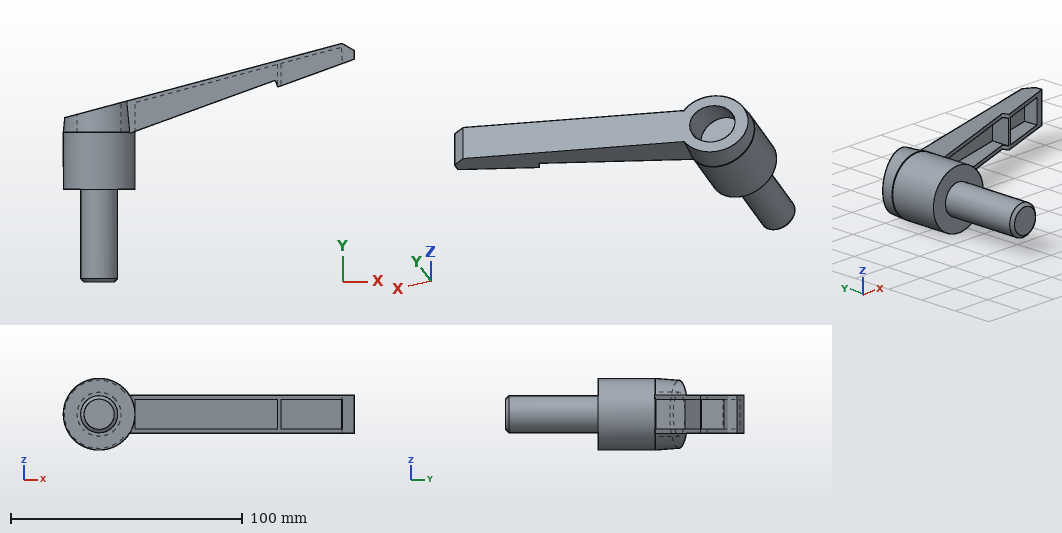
import cadquery as cq
import math


hub_radius = 15.5
collar_height = 24.5
seam_width = 0.3
seam_depth = 0.1
cap_base = collar_height + seam_width
cap_draft = math.radians(4.5)

stud_diameter = 16.0
stud_length = 40.0
stud_chamfer = 1.5

socket_diameter = 19.0
socket_floor = cap_base

arm_width = 16.4
arm_reach = 110.0
arm_top_height = 63.0
top_slope = math.tan(math.radians(15))
underside_slope = math.tan(math.radians(20))
axis_top_height = 34.95
tip_bevel_slope = math.tan(math.radians(30))
underside_start_height = 25.0
arm_root_inset = 2.0
grip_step_x = 76.0
grip_step_run = 0.9
grip_drop = 3.3
step_rounding = 0.5
tip_rounding = 0.5

roof_thickness = 1.6
hollow_width = 12.6
hollow_start = hub_radius
rib_start = 76.9
rib_end = 78.3
hollow_end = 104.9
grip_hollow_lean = 0.4


def top_height(x):
    """Height of the sloping top plane at x."""
    return axis_top_height + x * top_slope


def underside_height(x):
    """Height of the arm's underside at x, between the hub and the grip step."""
    return underside_start_height + (x - hub_radius) * underside_slope


def grip_height(x):
    """Height of the lower underside of the grip at x."""
    return underside_height(x) - grip_drop


def extrude_centred(points, width):
    """Extrude a closed XY outline symmetrically about Z = 0."""
    return cq.Workplane("XY").polyline(points).close().extrude(width / 2, both=True)


def make_hub():
    top = top_height(hub_radius)
    cap_top_radius = hub_radius - (top - cap_base) * math.tan(cap_draft)
    seam_radius = hub_radius - seam_depth
    profile = [
        (0, 0),
        (hub_radius, 0),
        (hub_radius, collar_height),
        (seam_radius, collar_height),
        (seam_radius, cap_base),
        (hub_radius, cap_base),
        (cap_top_radius, top),
        (0, top),
    ]
    body = cq.Workplane("XY").polyline(profile).close().revolve(360, (0, 0), (0, 1))
    below_top_plane = extrude_centred(
        [
            (-hub_radius, 0),
            (hub_radius, 0),
            (hub_radius, top),
            (-hub_radius, top_height(-hub_radius)),
        ],
        2 * hub_radius,
    )
    return body.intersect(below_top_plane)


def make_arm():
    peak_x = (arm_top_height - axis_top_height) / top_slope
    bevel_end = arm_top_height - (arm_reach - peak_x) * tip_bevel_slope
    step_foot = grip_step_x + grip_step_run
    root_x = hub_radius - arm_root_inset
    outline = [
        (0, axis_top_height),
        (peak_x, arm_top_height),
        (arm_reach, bevel_end),
        (arm_reach, grip_height(arm_reach)),
        (step_foot, grip_height(step_foot)),
        (grip_step_x, underside_height(grip_step_x)),
        (root_x, underside_height(root_x)),
        (0, underside_height(root_x)),
    ]
    arm = extrude_centred(outline, arm_width)
    rounded_corners = [
        (grip_step_x, underside_height(grip_step_x), step_rounding),
        (step_foot, grip_height(step_foot), step_rounding),
        (arm_reach, grip_height(arm_reach), tip_rounding),
    ]
    for x, y, radius in rounded_corners:
        corner = cq.selectors.NearestToPointSelector((x, y, 0))
        arm = arm.edges("|Z").edges(corner).fillet(radius)
    return arm


def make_hollow(start, end, end_lean):
    """Open-bottomed hollow whose end wall leans inward by end_lean up to its roof."""
    roof_end = end - end_lean
    roof_drop = roof_thickness / math.cos(math.atan(top_slope))
    outline = [
        (start, 0),
        (end, 0),
        (end, grip_height(end)),
        (roof_end, top_height(roof_end) - roof_drop),
        (start, top_height(start) - roof_drop),
    ]
    return extrude_centred(outline, hollow_width)


def make_stud():
    return (
        cq.Workplane("XZ")
        .circle(stud_diameter / 2)
        .extrude(stud_length)
        .faces("<Y")
        .chamfer(stud_chamfer)
    )


def make_socket():
    return (
        cq.Workplane("XZ", origin=(0, socket_floor, 0))
        .circle(socket_diameter / 2)
        .extrude(-hub_radius)
    )


arm = make_arm()
arm = arm.cut(make_hollow(hollow_start, rib_start, 0))
arm = arm.cut(make_hollow(rib_end, hollow_end, grip_hollow_lean))
result = make_hub().union(arm).union(make_stud()).cut(make_socket())